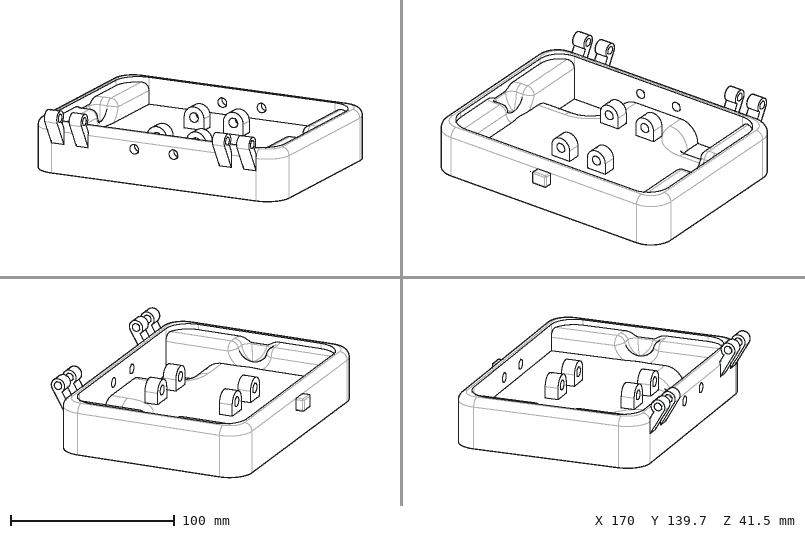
import cadquery as cq
import math

LENGTH = 170.0
WIDTH = 125.0
HEIGHT = 32.0
CORNER_RADIUS = 15.0
RIM_RADIUS = 5.0
WALL = 6.5
CAVITY_CORNER_RADIUS = 15.0
FLOOR_Z = 15.0

CAVITY_LENGTH = LENGTH - 2 * WALL
CAVITY_WIDTH = WIDTH - 2 * WALL
WALL_X = CAVITY_LENGTH / 2

LEDGE_TOP_Z = 28.5
LEDGE_WIDTH = 15.0
LEDGE_RADIUS = 5.0
LEDGE_FACE_X = WALL_X - LEDGE_WIDTH

NOTCH_RADIUS = 10.0
NOTCH_CORNER_RADIUS = 5.0
NOTCH_DEPTH = 11.4
NOTCH_AXIS_Z = LEDGE_TOP_Z - NOTCH_DEPTH + NOTCH_RADIUS
POLE_X = WALL_X - NOTCH_RADIUS

ROLL_CENTER_Z = LEDGE_TOP_Z - LEDGE_RADIUS
LIP_ANGLE = math.asin((NOTCH_AXIS_Z - ROLL_CENTER_Z) / (NOTCH_RADIUS + LEDGE_RADIUS))
ROLL_CENTER_OFFSET = (NOTCH_RADIUS + LEDGE_RADIUS) * math.cos(LIP_ANGLE)
LIP_OFFSET = NOTCH_RADIUS * math.cos(LIP_ANGLE)
LIP_Z = NOTCH_AXIS_Z - NOTCH_RADIUS * math.sin(LIP_ANGLE)
LIP_CORNER_OFFSET = (NOTCH_RADIUS - NOTCH_CORNER_RADIUS) * math.cos(LIP_ANGLE)

BOWL_STEPS = 6
BOWL_LAST_ANGLE = math.radians(89)

POCKET_CORNER_RADIUS = 13.6
POCKET_EDGE_RADIUS = 13.0
POCKET_CENTER_X = 43.4
POCKET_CENTER_Y = -45.0
POCKET_FLOOR_Z = FLOOR_Z - POCKET_EDGE_RADIUS

PIN_HOLE_DIAMETER = 6.0
BLIND_HOLE_DEPTH = 5.6
PIN_X = 13.5
PIN_Z = 22.3
LUG_WIDTH = 13.5
LUG_LENGTH = 8.5
LUG_PITCH_Y = 50.0
LUG_MIDDLE_Y = -2.7

KNUCKLE_SPANS = [(44.9, 53.0), (61.5, 70.0)]
KNUCKLE_RADIUS = 9.0 / 2
KNUCKLE_HOLE_DIAMETER = 5.0
KNUCKLE_Y = -WIDTH / 2 - 5.1
KNUCKLE_Z = 37.0
ARM_ANGLE = 60.0
ARM_THICKNESS = 5.1
ARM_LENGTH = 25.5

LATCH_WIDTH = 10.2
LATCH_REACH = 5.1
LATCH_HEIGHT = 8.0
LATCH_BOTTOM_Z = 19.0
LATCH_RADIUS = 0.8

OVERLAP = 1.7


def box(x_range, y_range, z_range):
    low = cq.Vector(x_range[0], y_range[0], z_range[0])
    return cq.Workplane(
        cq.Solid.makeBox(x_range[1] - x_range[0], y_range[1] - y_range[0], z_range[1] - z_range[0], low)
    )


def make_cavity():
    return (
        cq.Workplane("XY", origin=(0, 0, FLOOR_Z))
        .rect(CAVITY_LENGTH, CAVITY_WIDTH)
        .extrude(HEIGHT - FLOOR_Z)
        .edges("|Z")
        .fillet(CAVITY_CORNER_RADIUS)
    )


def make_shell(cavity):
    block = cq.Workplane("XY").rect(LENGTH, WIDTH).extrude(HEIGHT)
    block = block.edges("|Z").fillet(CORNER_RADIUS)
    block = block.faces(">Z").edges().fillet(RIM_RADIUS)
    return block.cut(cavity)


def inner_ledge():
    """Inner part of the ledge, up to the pole, with the channel through it and its edges rolled over."""
    half_width = WIDTH / 2
    block = box((LEDGE_FACE_X, LENGTH), (-half_width, half_width), (0, LEDGE_TOP_Z))
    channel = (
        cq.Workplane("YZ")
        .moveTo(-NOTCH_RADIUS, HEIGHT)
        .lineTo(-NOTCH_RADIUS, NOTCH_AXIS_Z)
        .threePointArc((0, NOTCH_AXIS_Z - NOTCH_RADIUS), (NOTCH_RADIUS, NOTCH_AXIS_Z))
        .lineTo(NOTCH_RADIUS, HEIGHT)
        .close()
        .extrude(2 * LENGTH)
    )
    tiny = 0.2
    inner_edges = cq.selectors.BoxSelector(
        (LEDGE_FACE_X - tiny, -half_width + tiny, FLOOR_Z),
        (LEDGE_FACE_X + tiny, half_width - tiny, HEIGHT),
    )
    channel_rims = cq.selectors.BoxSelector(
        (LEDGE_FACE_X + tiny, -NOTCH_RADIUS - tiny, LEDGE_TOP_Z - tiny),
        (LENGTH - tiny, NOTCH_RADIUS + tiny, HEIGHT),
    )
    block = block.cut(channel).edges(inner_edges + channel_rims).fillet(LEDGE_RADIUS)
    return block.intersect(box((0, POLE_X), (-WIDTH, WIDTH), (0, HEIGHT)))


def bowl_outline(angle):
    """Level outline of the bowl, shrinking toward the pole as the angle below the notch axis grows."""
    half = NOTCH_RADIUS * math.cos(angle)
    straight = (NOTCH_RADIUS - NOTCH_CORNER_RADIUS) * math.cos(angle)
    corner = straight + (half - straight) * math.sqrt(0.5)
    return (
        cq.Workplane("XY", origin=(0, 0, NOTCH_AXIS_Z - NOTCH_RADIUS * math.sin(angle)))
        .moveTo(0, -half)
        .lineTo(straight, -half)
        .threePointArc((corner, -corner), (half, -straight))
        .lineTo(half, straight)
        .threePointArc((corner, corner), (straight, half))
        .lineTo(0, half)
        .close()
        .wire()
        .val()
    )


def roll_profile(inner):
    """XZ area over the rolled edge, reaching in to X = inner."""
    arc_angle = math.radians(135) - LIP_ANGLE / 2
    arc_middle = (
        ROLL_CENTER_OFFSET + LEDGE_RADIUS * math.cos(arc_angle),
        ROLL_CENTER_Z + LEDGE_RADIUS * math.sin(arc_angle),
    )
    return (
        cq.Workplane("XZ")
        .moveTo(inner, LIP_Z)
        .lineTo(LIP_OFFSET, LIP_Z)
        .threePointArc(arc_middle, (ROLL_CENTER_OFFSET, LEDGE_TOP_Z))
        .lineTo(inner, LEDGE_TOP_Z)
        .close()
    )


def notch_end_space():
    """Empty space of the notch outward of the pole, with the pole on the Z axis."""
    angle_step = (BOWL_LAST_ANGLE - LIP_ANGLE) / BOWL_STEPS
    outlines = [bowl_outline(LIP_ANGLE + i * angle_step) for i in range(BOWL_STEPS + 1)]
    space = cq.Workplane(cq.Solid.makeLoft(outlines))
    strip = roll_profile(0).extrude(LIP_CORNER_OFFSET, both=True)
    for turn in (-90, 0, 90):
        space = space.union(strip.rotate((0, 0, 0), (0, 0, 1), turn))
    corner = roll_profile(LIP_CORNER_OFFSET)
    corner = corner.revolve(360, (LIP_CORNER_OFFSET, 0, 0), (LIP_CORNER_OFFSET, 1, 0))
    for side in (-1, 1):
        space = space.union(corner.translate((0, side * LIP_CORNER_OFFSET, 0)))
    return space


def make_ledge(cavity):
    outer_part = box((POLE_X, LENGTH / 2), (-WIDTH / 2, WIDTH / 2), (0, LEDGE_TOP_Z))
    outer_part = outer_part.cut(notch_end_space().translate((POLE_X, 0, 0)))
    return inner_ledge().union(outer_part).intersect(cavity)


def pocket_profile():
    """XZ half-section of the pocket, with the axis of its rounded corner on the Z axis."""
    rim = POCKET_CORNER_RADIUS + POCKET_EDGE_RADIUS
    diagonal = POCKET_EDGE_RADIUS * math.sqrt(0.5)
    return (
        cq.Workplane("XZ")
        .moveTo(0, POCKET_FLOOR_Z)
        .lineTo(POCKET_CORNER_RADIUS, POCKET_FLOOR_Z)
        .threePointArc((rim - diagonal, POCKET_FLOOR_Z + diagonal), (rim, FLOOR_Z))
        .lineTo(0, FLOOR_Z)
        .close()
    )


def pocket_space():
    """Space of the +X pocket: a rounded corner, a side along each wall and the core between them."""
    length_x = LEDGE_FACE_X - POCKET_CENTER_X
    length_y = POCKET_CENTER_Y + CAVITY_WIDTH / 2
    vertical = ((0, 0, 0), (0, 0, 1))
    corner = pocket_profile().revolve(360, (0, 0, 0), (0, 1, 0))
    quarter = box((-WIDTH, 0), (0, WIDTH), (0, HEIGHT))
    corner = corner.intersect(quarter)
    side_y = pocket_profile().extrude(length_y).mirror("YZ")
    side_x = pocket_profile().extrude(length_x).rotate(*vertical, 90)
    core = box((0, length_x), (-length_y, 0), (POCKET_FLOOR_Z, FLOOR_Z))
    space = corner.union(side_x).union(side_y).union(core)
    return space.translate((POCKET_CENTER_X, POCKET_CENTER_Y, 0))


def make_knuckle(inner_x, outer_x):
    """Hinge ring on an arm that slopes down into the wall, tangent to the ring on its outer side."""
    width = outer_x - inner_x
    plane = cq.Workplane("YZ", origin=(inner_x, KNUCKLE_Y, KNUCKLE_Z))
    arm = (
        plane.transformed(rotate=(0, 0, -ARM_ANGLE))
        .moveTo(0, -KNUCKLE_RADIUS)
        .rect(ARM_LENGTH, ARM_THICKNESS, centered=False)
        .extrude(width)
    )
    wall_y = -WIDTH / 2
    arm = arm.intersect(box((inner_x, outer_x), (wall_y - WIDTH, wall_y + OVERLAP), (0, 2 * HEIGHT)))
    hole = plane.circle(KNUCKLE_HOLE_DIAMETER / 2).extrude(width)
    return plane.circle(KNUCKLE_RADIUS).extrude(width).union(arm).cut(hole)


def make_latch():
    half_width = LATCH_WIDTH / 2
    wall_y = WIDTH / 2
    block = box(
        (-half_width, half_width),
        (wall_y - OVERLAP, wall_y + LATCH_REACH),
        (LATCH_BOTTOM_Z, LATCH_BOTTOM_Z + LATCH_HEIGHT),
    )
    return block.edges("|Y or >Y").fillet(LATCH_RADIUS)


def pin_hole_space():
    """Bars along Y for the holes through the -Y wall and the blind ones inside the +Y wall."""
    start_y = -WIDTH / 2
    end_y = CAVITY_WIDTH / 2 + BLIND_HOLE_DEPTH
    return (
        cq.Workplane("XZ", origin=(0, end_y, PIN_Z))
        .pushPoints([(-PIN_X, 0), (PIN_X, 0)])
        .circle(PIN_HOLE_DIAMETER / 2)
        .extrude(end_y - start_y)
    )


def make_housing():
    cavity = make_cavity()
    housing = make_shell(cavity)
    ledge = make_ledge(cavity)
    housing = housing.union(ledge).union(ledge.mirror("YZ"))
    pocket = pocket_space()
    housing = housing.cut(pocket).cut(pocket.mirror("YZ"))
    for inner_x, outer_x in KNUCKLE_SPANS:
        knuckle = make_knuckle(inner_x, outer_x)
        housing = housing.union(knuckle).union(knuckle.mirror("YZ"))
    return housing.union(make_latch()).cut(pin_hole_space())


def make_lug(x, y):
    """Round-topped bearing lug standing on the floor."""
    half_width = LUG_WIDTH / 2
    drop = FLOOR_Z - PIN_Z
    plane = cq.Workplane("XZ", origin=(x, y + LUG_LENGTH / 2, PIN_Z))
    body = (
        plane.moveTo(-half_width, drop)
        .lineTo(half_width, drop)
        .lineTo(half_width, 0)
        .threePointArc((0, half_width), (-half_width, 0))
        .close()
        .extrude(LUG_LENGTH)
    )
    return body.cut(plane.circle(PIN_HOLE_DIAMETER / 2).extrude(LUG_LENGTH))


housing = make_housing()
lugs = [
    make_lug(x_side * PIN_X, LUG_MIDDLE_Y + y_side * LUG_PITCH_Y / 2)
    for x_side in (-1, 1)
    for y_side in (-1, 1)
]

result = cq.Compound.makeCompound([housing.val(), *[lug.val() for lug in lugs]])